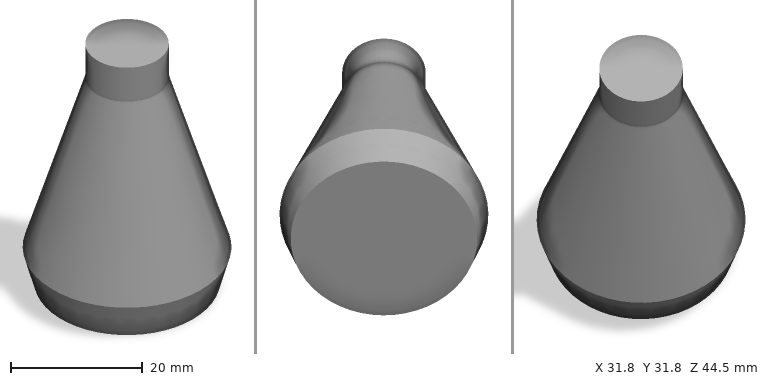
import cadquery as cq
import math

total_height = 44.45
body_diameter = 31.75
neck_diameter = 12.7
neck_height = 6.35
base_height = 6.35
base_taper_angle = 15.0

body_radius = body_diameter / 2
neck_radius = neck_diameter / 2
base_radius = body_radius - base_height * math.tan(math.radians(base_taper_angle))
shoulder_z = total_height - neck_height

half_profile = (
    cq.Workplane("XZ")
    .moveTo(0, 0)
    .lineTo(base_radius, 0)
    .lineTo(body_radius, base_height)
    .lineTo(neck_radius, shoulder_z)
    .lineTo(neck_radius, total_height)
    .lineTo(0, total_height)
    .close()
)

result = half_profile.revolve(360, (0, 0, 0), (0, 1, 0))